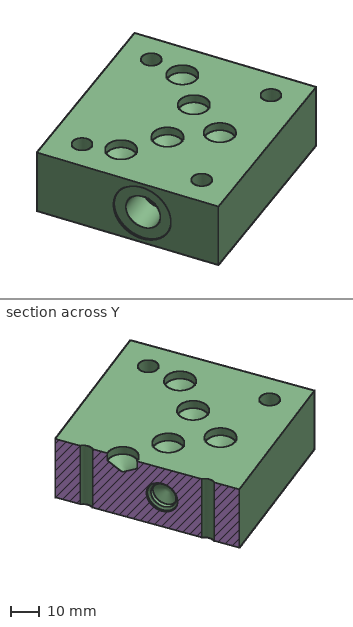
import cadquery as cq
import math

BLOCK_X = 69.9
BLOCK_Y = 76.2
BLOCK_Z = 25.4

BOLT_DIAMETER = 7.2
BOLT_SPACING_X = 46.0
BOLT_SPACING_Y = 53.95

PASSAGE_DIAMETER = 11.1
PASSAGE_DEPTH = 3.2
PRESSURE_X = 16.7
WORK_X = 1.6
WORK_Y = 10.3
TANK_X = -9.5
TANK_Y = 23.85

PORT_X = 5.6
SPOTFACE_DIAMETER = 22.1
SPOTFACE_DEPTH = 0.8
THREAD_DIAMETER = 13.25
THREAD_DEPTH = 13.3
TAP_DRILL_DIAMETER = 11.65
TAP_DRILL_DEPTH = 14.5
PILOT_DIAMETER = 9.5
PILOT_DEPTH = 16.8

DRILL_POINT_ANGLE = 120.0
POINT_SLOPE = 1 / math.tan(math.radians(DRILL_POINT_ANGLE / 2))


def drilled_hole(diameter, depth):
    """Drill shape running down from z = 0: a cylinder of the given depth plus its conical point."""
    radius = diameter / 2
    half_section = (
        cq.Workplane("XZ")
        .lineTo(radius, 0)
        .lineTo(radius, -depth)
        .lineTo(0, -depth - radius * POINT_SLOPE)
        .close()
    )
    return half_section.revolve(360, (0, 0), (0, 1))


def port_cutter():
    """Stepped port shape, its mouth in the -Y face and its axis along +Y."""
    thread_radius = THREAD_DIAMETER / 2
    tap_radius = TAP_DRILL_DIAMETER / 2
    pilot_radius = PILOT_DIAMETER / 2
    tap_cone_end = TAP_DRILL_DEPTH + (tap_radius - pilot_radius) * POINT_SLOPE
    tip_depth = PILOT_DEPTH + pilot_radius * POINT_SLOPE
    half_section = (
        cq.Workplane("XY", origin=(PORT_X, -BLOCK_Y / 2, 0))
        .lineTo(SPOTFACE_DIAMETER / 2, 0)
        .lineTo(SPOTFACE_DIAMETER / 2, SPOTFACE_DEPTH)
        .lineTo(thread_radius, SPOTFACE_DEPTH)
        .lineTo(thread_radius, THREAD_DEPTH)
        .lineTo(tap_radius, THREAD_DEPTH)
        .lineTo(tap_radius, TAP_DRILL_DEPTH)
        .lineTo(pilot_radius, tap_cone_end)
        .lineTo(pilot_radius, PILOT_DEPTH)
        .lineTo(0, tip_depth)
        .close()
    )
    return half_section.revolve(360, (0, 0), (0, 1))


block = cq.Workplane("XY").box(BLOCK_X, BLOCK_Y, BLOCK_Z)

block = (
    block.faces(">Z")
    .workplane()
    .rarray(BOLT_SPACING_X, BOLT_SPACING_Y, 2, 2)
    .hole(BOLT_DIAMETER)
)

passage = drilled_hole(PASSAGE_DIAMETER, PASSAGE_DEPTH)
passage_centres = [
    (PRESSURE_X, 0),
    (WORK_X, WORK_Y),
    (WORK_X, -WORK_Y),
    (TANK_X, TANK_Y),
    (TANK_X, -TANK_Y),
]
for x, y in passage_centres:
    block = block.cut(passage.translate((x, y, BLOCK_Z / 2)))

result = block.cut(port_cutter())